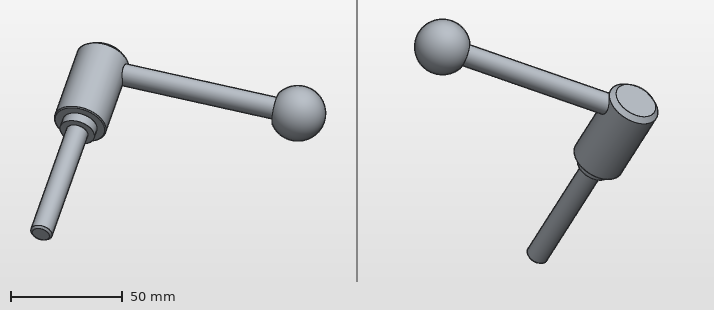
import cadquery as cq
import math

hub_diameter = 24.0
hub_length = 40.0
hub_back = 7.5
hub_back_chamfer = 2.25
hub_front_chamfer = 0.5

collar_diameter = 16.0
collar_length = 4.5

stud_diameter = 10.0
stud_length = 60.0
stud_chamfer = 1.0

lever_diameter = 10.0
ball_diameter = 25.0
ball_center_x = 92.0
ball_flat_offset = 10.0

hub_front_y = hub_back - hub_length
collar_front_y = hub_front_y - collar_length
ball_flat_x = ball_center_x - ball_flat_offset


def cylinder_toward_front(diameter, start_y, length):
    """Cylinder on the Y axis, running from start_y in the -Y direction."""
    return cq.Workplane("XZ", origin=(0, start_y, 0)).circle(diameter / 2).extrude(length)


def make_hub():
    hub = cylinder_toward_front(hub_diameter, hub_back, hub_length)
    hub = hub.faces(">Y").chamfer(hub_back_chamfer)
    return hub.faces("<Y").chamfer(hub_front_chamfer)


def make_collar():
    return cylinder_toward_front(collar_diameter, hub_front_y, collar_length)


def make_stud():
    stud = cylinder_toward_front(stud_diameter, collar_front_y, stud_length)
    return stud.faces("<Y").chamfer(stud_chamfer)


def make_lever():
    """Round bar from the hub axis into the ball."""
    return cq.Workplane("YZ").circle(lever_diameter / 2).extrude(ball_center_x)


def make_ball():
    """Ball revolved about the X axis, cut flat on the side that meets the lever."""
    radius = ball_diameter / 2
    flat_radius = math.sqrt(radius**2 - ball_flat_offset**2)
    return (
        cq.Workplane("XY")
        .moveTo(ball_flat_x, 0)
        .lineTo(ball_flat_x, flat_radius)
        .threePointArc((ball_center_x, radius), (ball_center_x + radius, 0))
        .close()
        .revolve(axisStart=(0, 0, 0), axisEnd=(1, 0, 0))
    )


result = make_hub().union(make_collar()).union(make_stud()).union(make_lever()).union(make_ball())